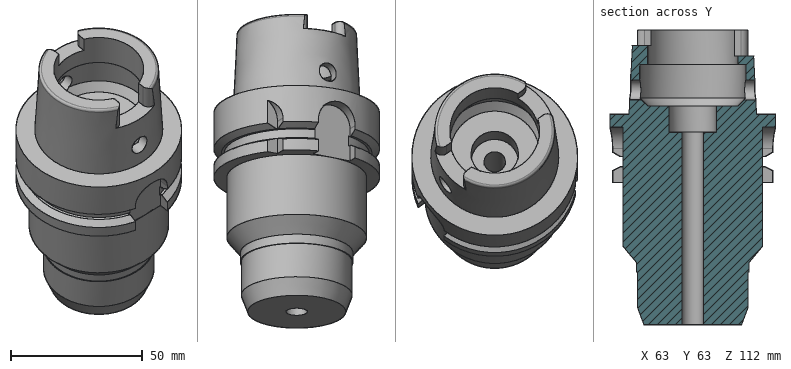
import cadquery as cq

TOTAL_LENGTH = 112.0
SHANK_LENGTH = 32.0
FLANGE_LENGTH = 26.0
FLANGE_TOP = TOTAL_LENGTH - SHANK_LENGTH
FLANGE_BOTTOM = FLANGE_TOP - FLANGE_LENGTH

SHANK_BASE_RADIUS = 24.3
TAPER_RATIO = 0.05
SHANK_TOP_RADIUS = SHANK_BASE_RADIUS - TAPER_RATIO * SHANK_LENGTH
RIM_ROUND = 1.0

FLANGE_RADIUS = 31.5
GROOVE_RADIUS = 27.5
GROOVE_MOUTH_RADIUS = 28.6
GROOVE_TOP = 63.8
GROOVE_BOTTOM = 60.0
UPPER_CHAMFER_HEIGHT = 1.7
LOWER_CHAMFER_HEIGHT = 1.5
GROOVE_UPPER_EDGE = GROOVE_TOP + UPPER_CHAMFER_HEIGHT
GROOVE_LOWER_EDGE = GROOVE_BOTTOM - LOWER_CHAMFER_HEIGHT

BODY_RADIUS = 26.5
BODY_BOTTOM = 29.8
COLLAR_RADIUS = 21.4
COLLAR_TOP = 23.6
COLLAR_BOTTOM = 20.0
NOSE_RADIUS = 21.0
NOSE_TIP_RADIUS = 18.6
NOSE_CONE_HEIGHT = 6.6

MOUTH_RADIUS = 17.0
MOUTH_DEPTH = 13.2
CHAMBER_RADIUS = 20.0
CHAMBER_DEPTH = 25.9
CHAMBER_CONE_HEIGHT = CHAMBER_RADIUS - MOUTH_RADIUS
COUNTERBORE_RADIUS = 9.0
COUNTERBORE_DEPTH = 10.0
THROUGH_RADIUS = 4.0

NOTCH_WIDTH = 12.5
NOTCH_ROUND = 2.8
NOTCH_SHOULDER_X = 21.0
LEFT_NOTCH_DEPTH = 5.9
RIGHT_NOTCH_DEPTH = 9.9

CROSS_HOLE_RADIUS = 3.7
CROSS_HOLE_Z = TOTAL_LENGTH - 22.8

KEYWAY_ARC_Z = FLANGE_TOP - 13.0
KEYWAY_WIDTH = 16.0
KEYWAY_FLOOR_X = BODY_RADIUS
SIDE_KEYWAY_WIDTH = 18.0
SIDE_KEYWAY_FLOOR_X = 20.0
SIDE_KEYWAY_Y = 29.0

CUT_MARGIN = 11.2


def revolve_profile(points):
    """Spin a closed (radius, height) outline about the Z axis."""
    return cq.Workplane("XZ").polyline(points).close().revolve(360, (0, 0, 0), (0, 1, 0))


def outer_body():
    body = revolve_profile([
        (0, 0),
        (NOSE_TIP_RADIUS, 0),
        (NOSE_RADIUS, NOSE_CONE_HEIGHT),
        (NOSE_RADIUS, COLLAR_BOTTOM),
        (COLLAR_RADIUS, COLLAR_BOTTOM),
        (COLLAR_RADIUS, COLLAR_TOP),
        (BODY_RADIUS, BODY_BOTTOM),
        (BODY_RADIUS, FLANGE_BOTTOM),
        (FLANGE_RADIUS, FLANGE_BOTTOM),
        (FLANGE_RADIUS, GROOVE_LOWER_EDGE),
        (GROOVE_MOUTH_RADIUS, GROOVE_BOTTOM),
        (GROOVE_RADIUS, GROOVE_BOTTOM),
        (GROOVE_RADIUS, GROOVE_TOP),
        (GROOVE_MOUTH_RADIUS, GROOVE_TOP),
        (FLANGE_RADIUS, GROOVE_UPPER_EDGE),
        (FLANGE_RADIUS, FLANGE_TOP),
        (SHANK_BASE_RADIUS, FLANGE_TOP),
        (SHANK_TOP_RADIUS, TOTAL_LENGTH),
        (0, TOTAL_LENGTH),
    ])
    return body.faces(">Z").edges().fillet(RIM_ROUND)


def stepped_bore():
    shoulder_z = TOTAL_LENGTH - MOUTH_DEPTH
    cone_top_z = TOTAL_LENGTH - CHAMBER_DEPTH
    floor_z = cone_top_z - CHAMBER_CONE_HEIGHT
    counterbore_z = floor_z - COUNTERBORE_DEPTH
    return revolve_profile([
        (0, 0),
        (THROUGH_RADIUS, 0),
        (THROUGH_RADIUS, counterbore_z),
        (COUNTERBORE_RADIUS, counterbore_z),
        (COUNTERBORE_RADIUS, floor_z),
        (MOUTH_RADIUS, floor_z),
        (CHAMBER_RADIUS, cone_top_z),
        (CHAMBER_RADIUS, shoulder_z),
        (MOUTH_RADIUS, shoulder_z),
        (MOUTH_RADIUS, TOTAL_LENGTH),
        (0, TOTAL_LENGTH),
    ])


def drive_notch(side, depth):
    """Notch on the +X (side = 1) or -X (side = -1) part of the rim, flared with rounded corners."""
    half_width = NOTCH_WIDTH / 2
    outer_x = side * FLANGE_RADIUS
    shoulder_x = side * NOTCH_SHOULDER_X
    round_start_x = side * (NOTCH_SHOULDER_X - NOTCH_ROUND)
    round_end_y = half_width + NOTCH_ROUND
    return (
        cq.Workplane("XY")
        .workplane(offset=TOTAL_LENGTH - depth)
        .moveTo(0, -half_width)
        .lineTo(round_start_x, -half_width)
        .radiusArc((shoulder_x, -round_end_y), side * NOTCH_ROUND)
        .lineTo(shoulder_x, -FLANGE_RADIUS)
        .lineTo(outer_x, -FLANGE_RADIUS)
        .lineTo(outer_x, FLANGE_RADIUS)
        .lineTo(shoulder_x, FLANGE_RADIUS)
        .lineTo(shoulder_x, round_end_y)
        .radiusArc((round_start_x, half_width), side * NOTCH_ROUND)
        .lineTo(0, half_width)
        .close()
        .extrude(depth + CUT_MARGIN)
    )


def keyway(side, width, floor_x, center_y):
    """Round-topped keyway facing +X or -X, flat at floor_x and open at the flange underside."""
    radius = width / 2
    return (
        cq.Workplane("YZ")
        .workplane(offset=side * floor_x)
        .moveTo(center_y - radius, FLANGE_BOTTOM)
        .lineTo(center_y - radius, KEYWAY_ARC_Z)
        .threePointArc((center_y, KEYWAY_ARC_Z + radius), (center_y + radius, KEYWAY_ARC_Z))
        .lineTo(center_y + radius, FLANGE_BOTTOM)
        .close()
        .extrude(side * (FLANGE_RADIUS - floor_x + CUT_MARGIN))
    )


def cross_hole():
    return (
        cq.Workplane("YZ")
        .center(0, CROSS_HOLE_Z)
        .circle(CROSS_HOLE_RADIUS)
        .extrude(FLANGE_RADIUS, both=True)
    )


result = outer_body().cut(stepped_bore())
result = result.cut(drive_notch(-1, LEFT_NOTCH_DEPTH)).cut(drive_notch(1, RIGHT_NOTCH_DEPTH))
result = result.cut(cross_hole())
for facing in (-1, 1):
    result = result.cut(keyway(facing, KEYWAY_WIDTH, KEYWAY_FLOOR_X, 0))
result = result.cut(keyway(-1, SIDE_KEYWAY_WIDTH, SIDE_KEYWAY_FLOOR_X, SIDE_KEYWAY_Y))